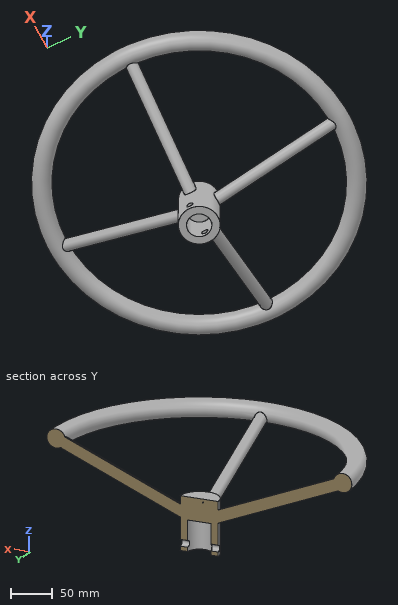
import cadquery as cq

wheel_diameter = 400.0
total_height = 130.0
rim_tube_diameter = 24.8
rim_radius = (wheel_diameter - rim_tube_diameter) / 2
rim_height = total_height - rim_tube_diameter / 2

hub_diameter = 50.0
hub_height = 70.0
bore_diameter = 30.0
bore_depth = 40.0
pin_hole_diameter = 8.0
pin_hole_height = 10.0

spoke_count = 4
spoke_diameter = 16.0
spoke_hub_height = 50.8
spoke_step = 360 / spoke_count
spoke_inner_radius = hub_diameter / 4


def make_rim():
    return (
        cq.Workplane("XZ")
        .center(rim_radius, rim_height)
        .circle(rim_tube_diameter / 2)
        .revolve(360, (-rim_radius, 0), (-rim_radius, 1))
        .rotate((0, 0, 0), (0, 0, 1), spoke_step / 2)
    )


def make_spoke(angle):
    hub_radius = hub_diameter / 2
    slope = (rim_height - spoke_hub_height) / (rim_radius - hub_radius)
    start_height = spoke_hub_height - slope * (hub_radius - spoke_inner_radius)
    start = cq.Vector(spoke_inner_radius, 0, start_height)
    end = cq.Vector(rim_radius, 0, rim_height)
    axis = end - start
    bar = cq.Solid.makeCylinder(spoke_diameter / 2, axis.Length, start, axis)
    return cq.Workplane(bar).rotate((0, 0, 0), (0, 0, 1), angle)


def make_pin_hole():
    return (
        cq.Workplane("YZ")
        .center(0, pin_hole_height)
        .circle(pin_hole_diameter / 2)
        .extrude(hub_diameter, both=True)
    )


hub = cq.Workplane("XY").circle(hub_diameter / 2).extrude(hub_height)
bore = cq.Workplane("XY").circle(bore_diameter / 2).extrude(bore_depth)

result = hub
for index in range(spoke_count):
    result = result.union(make_spoke(index * spoke_step))
result = result.cut(bore).cut(make_pin_hole())
result = result.union(make_rim(), clean=False)